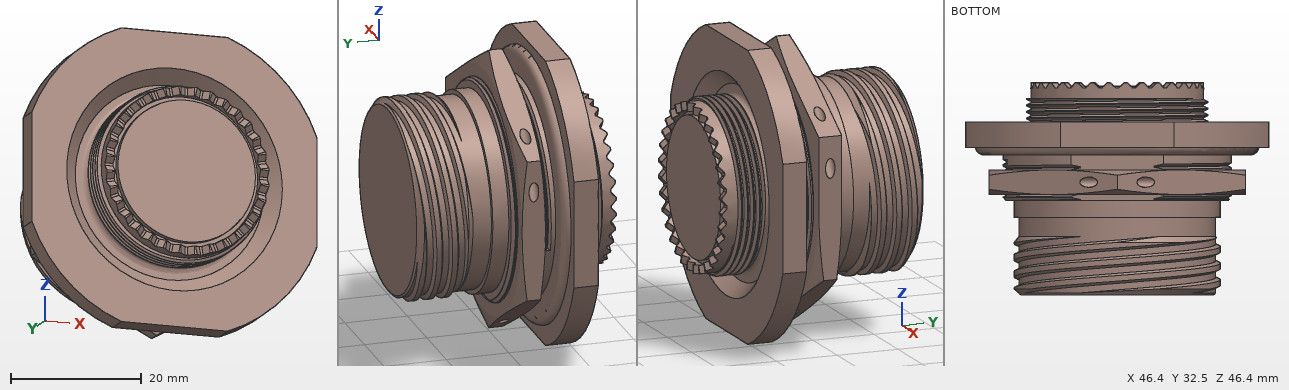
import cadquery as cq
import math


TOTAL_LENGTH = 32.5

BARREL_RADIUS = 13.23
TOOTH_COUNT = 32
TOOTH_DEPTH = 0.82
TOOTH_INNER_RADIUS = 11.9
TOOTH_TIP_WIDTH = 0.4
TOOTH_GAP_FLOOR_WIDTH = 0.4
INSERT_RADIUS = 11.18
INSERT_FACE = 0.55
INSERT_GROOVE_DEPTH = 1.0

FINE_PITCH = 1.0
FINE_ROOT_WIDTH = 0.875 * FINE_PITCH
FINE_TIP_WIDTH = 0.15 * FINE_PITCH

FRONT_THREAD_RADIUS = 13.87
FRONT_THREAD_START = 2.46
FRONT_THREAD_END = 6.9
FRONT_CREST_HEIGHT = 2.99

FLANGE_FRONT = 6.02
FLANGE_BACK = 9.94
FLANGE_WIDTH = 46.4
FLANGE_CORNER_RADIUS = 24.76
RECESS_MOUTH_RADIUS = 17.55
RECESS_FLOOR_RADIUS = 15.36
RECESS_FLOOR = FLANGE_FRONT + RECESS_MOUTH_RADIUS - RECESS_FLOOR_RADIUS
RECESS_FILLET = 1.1
LIP_BACK = 11.08
LIP_RADIUS = 21.7
LIP_TOP_RADIUS = 20.2

PANEL_THREAD_RADIUS = 17.48
PANEL_THREAD_END = 18.05
PANEL_GROOVE_DEPTH = 0.53
PANEL_GROOVE_START = 12.12
PANEL_GROOVE_START_ANGLE = 165.0
PANEL_CHAMFER = 0.5
SEAM_ANGLE = PANEL_GROOVE_START_ANGLE + 30
KEY_FLAT_DISTANCE = 16.0

COLLAR_RADIUS = 15.78
COLLAR_END = 20.62
REAR_RADIUS = 15.05
REAR_CHAMFER = 0.3
COARSE_THREAD_RADIUS = COLLAR_RADIUS
COARSE_THREAD_START = 23.57
COARSE_THREAD_END = 32.2
COARSE_START_TAPER = 1.0
COARSE_END_TAPER = 0.7
COARSE_STARTS = 3
COARSE_PITCH = 2.54
COARSE_LEAD = COARSE_STARTS * COARSE_PITCH
COARSE_ROOT_WIDTH = 1.65
COARSE_TIP_WIDTH = 0.85
COARSE_CREST_HEIGHT = 30.58

NUT_FRONT = 13.36
NUT_THICKNESS = 3.77
NUT_ACROSS_FLATS = 39.25
NUT_CORNER_RADIUS = NUT_ACROSS_FLATS / math.sqrt(3)
NUT_CHAMFER_ANGLE = 15.0
NUT_CHAMFER_OVERSHOOT = 1.0
NUT_CHAMFERED_SWEEP = 300
WIRE_HOLE_DIAMETER = 1.55
WIRE_HOLE_DISTANCE = 20.14
WIRE_HOLE_CORNERS = (90, 210, 330)

EMBED = 0.1


def ring(inner_radius, outer_radius, bottom, top):
    return (
        cq.Workplane("XY").workplane(offset=bottom)
        .circle(outer_radius).circle(inner_radius).extrude(top - bottom)
    )


def helical_sweep(base_radius, tip_radius, base_width, tip_width, lead, start, height, angle):
    """Trapezoid swept along a right-hand helix that starts at the given height and angle."""
    path = cq.Wire.makeHelix(lead, height, base_radius)
    profile = (
        cq.Workplane("XZ")
        .moveTo(base_radius, -base_width / 2)
        .lineTo(tip_radius, -tip_width / 2)
        .lineTo(tip_radius, tip_width / 2)
        .lineTo(base_radius, base_width / 2)
        .close()
    )
    thread = profile.sweep(cq.Workplane(obj=path), isFrenet=True)
    return thread.rotate((0, 0, 0), (0, 0, 1), angle).translate((0, 0, start))


def make_shell_blank():
    """Turned outline of the barrels, lip and collar, as one revolve."""
    return (
        cq.Workplane("XZ")
        .moveTo(0, 0)
        .lineTo(BARREL_RADIUS, 0)
        .lineTo(BARREL_RADIUS, FLANGE_BACK)
        .lineTo(LIP_RADIUS, FLANGE_BACK)
        .threePointArc(
            (
                LIP_TOP_RADIUS + (LIP_RADIUS - LIP_TOP_RADIUS) * math.sqrt(0.5),
                FLANGE_BACK + (LIP_BACK - FLANGE_BACK) * math.sqrt(0.5),
            ),
            (LIP_TOP_RADIUS, LIP_BACK),
        )
        .lineTo(PANEL_THREAD_RADIUS, LIP_BACK)
        .lineTo(PANEL_THREAD_RADIUS, PANEL_THREAD_END - PANEL_CHAMFER)
        .lineTo(PANEL_THREAD_RADIUS - PANEL_CHAMFER, PANEL_THREAD_END)
        .lineTo(COLLAR_RADIUS, PANEL_THREAD_END)
        .lineTo(COLLAR_RADIUS, COLLAR_END)
        .lineTo(REAR_RADIUS, COLLAR_END)
        .lineTo(REAR_RADIUS, TOTAL_LENGTH - REAR_CHAMFER)
        .lineTo(REAR_RADIUS - REAR_CHAMFER, TOTAL_LENGTH)
        .lineTo(0, TOTAL_LENGTH)
        .close()
        .revolve(360, (0, 0, 0), (0, 1, 0))
        .rotate((0, 0, 0), (0, 0, 1), SEAM_ANGLE)
    )


def make_flange():
    """Square plate with rounded corners and a funnel recess around the front barrel."""
    thickness = FLANGE_BACK - FLANGE_FRONT
    front_plane = cq.Workplane("XY", origin=(0, 0, FLANGE_FRONT))
    disc = front_plane.circle(FLANGE_CORNER_RADIUS).extrude(thickness)
    square = front_plane.rect(FLANGE_WIDTH, FLANGE_WIDTH).extrude(thickness)
    fillet_top = RECESS_FLOOR - RECESS_FILLET
    fillet_outer = BARREL_RADIUS + RECESS_FILLET
    fillet_mid = RECESS_FILLET * (1 - math.sqrt(0.5))
    recess = (
        cq.Workplane("XZ")
        .moveTo(BARREL_RADIUS, FLANGE_FRONT)
        .lineTo(RECESS_MOUTH_RADIUS, FLANGE_FRONT)
        .lineTo(RECESS_FLOOR_RADIUS, RECESS_FLOOR)
        .lineTo(fillet_outer, RECESS_FLOOR)
        .threePointArc((BARREL_RADIUS + fillet_mid, RECESS_FLOOR - fillet_mid), (BARREL_RADIUS, fillet_top))
        .close()
        .revolve(360, (0, 0, 0), (0, 1, 0))
    )
    return disc.intersect(square).cut(recess)


def cut_insert_face(shell):
    """Sink the insert face inside the teeth and part it from them with a ring groove."""
    shell = shell.cut(cq.Workplane("XY").circle(TOOTH_INNER_RADIUS).extrude(INSERT_FACE))
    return shell.cut(ring(INSERT_RADIUS, TOOTH_INNER_RADIUS, INSERT_FACE, INSERT_FACE + INSERT_GROOVE_DEPTH))


def cut_teeth(shell):
    """V-shaped gaps between the teeth, the first one on the X axis."""
    tooth_pitch = 2 * math.pi * BARREL_RADIUS / TOOTH_COUNT
    half_mouth = (tooth_pitch - TOOTH_TIP_WIDTH) / 2
    half_floor = TOOTH_GAP_FLOOR_WIDTH / 2
    gap = (
        cq.Workplane("YZ").workplane(offset=INSERT_RADIUS + EMBED)
        .moveTo(-half_mouth, 0)
        .lineTo(-half_floor, TOOTH_DEPTH)
        .lineTo(half_floor, TOOTH_DEPTH)
        .lineTo(half_mouth, 0)
        .close()
        .extrude(BARREL_RADIUS - INSERT_RADIUS)
    )
    for i in range(TOOTH_COUNT):
        shell = shell.cut(gap.rotate((0, 0, 0), (0, 0, 1), i * 360 / TOOTH_COUNT))
    return shell


def add_front_thread(shell):
    sweep_start = FRONT_CREST_HEIGHT - FINE_PITCH
    sweep_height = FRONT_THREAD_END + FINE_PITCH - sweep_start
    ridge = helical_sweep(
        BARREL_RADIUS - EMBED, FRONT_THREAD_RADIUS, FINE_ROOT_WIDTH, FINE_TIP_WIDTH,
        FINE_PITCH, sweep_start, sweep_height, 0,
    )
    span = ring(BARREL_RADIUS - 2 * EMBED, FRONT_THREAD_RADIUS + EMBED, FRONT_THREAD_START, FRONT_THREAD_END)
    return shell.union(ridge.intersect(span))


def cut_panel_thread(shell):
    groove = helical_sweep(
        PANEL_THREAD_RADIUS + EMBED, PANEL_THREAD_RADIUS - PANEL_GROOVE_DEPTH,
        FINE_ROOT_WIDTH, FINE_TIP_WIDTH, FINE_PITCH,
        PANEL_GROOVE_START, PANEL_THREAD_END + FINE_PITCH - PANEL_GROOVE_START,
        PANEL_GROOVE_START_ANGLE,
    )
    return shell.cut(groove)


def cut_key_flat(shell):
    depth = PANEL_THREAD_RADIUS - KEY_FLAT_DISTANCE
    flat = (
        cq.Workplane("XY").workplane(offset=LIP_BACK)
        .center(0, KEY_FLAT_DISTANCE + depth)
        .rect(2 * PANEL_THREAD_RADIUS, 2 * depth)
        .extrude(PANEL_THREAD_END - LIP_BACK)
    )
    return shell.cut(flat)


def add_coarse_thread(shell):
    span = (
        cq.Workplane("XZ")
        .moveTo(REAR_RADIUS - 2 * EMBED, COARSE_THREAD_START)
        .lineTo(REAR_RADIUS, COARSE_THREAD_START)
        .lineTo(COARSE_THREAD_RADIUS + EMBED, COARSE_THREAD_START + COARSE_START_TAPER)
        .lineTo(COARSE_THREAD_RADIUS + EMBED, COARSE_THREAD_END - COARSE_END_TAPER)
        .lineTo(REAR_RADIUS, COARSE_THREAD_END)
        .lineTo(REAR_RADIUS - 2 * EMBED, COARSE_THREAD_END)
        .close()
        .revolve(360, (0, 0, 0), (0, 1, 0))
    )
    sweep_start = COARSE_CREST_HEIGHT - COARSE_LEAD - COARSE_PITCH
    for i in range(COARSE_STARTS):
        ridge = helical_sweep(
            REAR_RADIUS - EMBED, COARSE_THREAD_RADIUS, COARSE_ROOT_WIDTH, COARSE_TIP_WIDTH,
            COARSE_LEAD, sweep_start, TOTAL_LENGTH + COARSE_PITCH - sweep_start, i * 360 / COARSE_STARTS,
        )
        shell = shell.union(ridge.intersect(span))
    return shell


def make_shell():
    shell = make_shell_blank().union(make_flange())
    shell = cut_insert_face(shell)
    shell = cut_teeth(shell)
    shell = add_front_thread(shell)
    shell = cut_panel_thread(shell)
    shell = cut_key_flat(shell)
    return add_coarse_thread(shell)


def make_jam_nut():
    """Hexagon nut with two corners on the Z axis of the part and lock-wire holes across three."""
    front_plane = cq.Workplane("XY", origin=(0, 0, NUT_FRONT))
    hexagon = front_plane.polygon(6, 2 * NUT_CORNER_RADIUS).extrude(NUT_THICKNESS)
    bore = front_plane.circle(PANEL_THREAD_RADIUS).extrude(NUT_THICKNESS)
    nut = hexagon.rotate((0, 0, 0), (0, 0, 1), 30).cut(bore)
    flat_radius = NUT_ACROSS_FLATS / 2
    outer = NUT_CORNER_RADIUS + NUT_CHAMFER_OVERSHOOT
    drop = (outer - flat_radius) * math.tan(math.radians(NUT_CHAMFER_ANGLE))
    for face, direction in ((NUT_FRONT, 1), (NUT_FRONT + NUT_THICKNESS, -1)):
        cutter = (
            cq.Workplane("XZ")
            .moveTo(flat_radius, face)
            .lineTo(outer, face)
            .lineTo(outer, face + direction * drop)
            .close()
            .revolve(NUT_CHAMFERED_SWEEP, (0, 0, 0), (0, 1, 0))
        )
        nut = nut.cut(cutter)
    hole_height = NUT_FRONT + NUT_THICKNESS / 2
    hole = (
        cq.Workplane("XZ", origin=(WIRE_HOLE_DISTANCE, 0, hole_height))
        .circle(WIRE_HOLE_DIAMETER / 2).extrude(NUT_CORNER_RADIUS, both=True)
    )
    for angle in WIRE_HOLE_CORNERS:
        nut = nut.cut(hole.rotate((0, 0, 0), (0, 0, 1), angle))
    return nut


def lay_along_y(body):
    return body.rotate((0, 0, 0), (1, 0, 0), -90)


shell = lay_along_y(make_shell())
jam_nut = lay_along_y(make_jam_nut())

result = cq.Compound.makeCompound([shell.val(), jam_nut.val()])